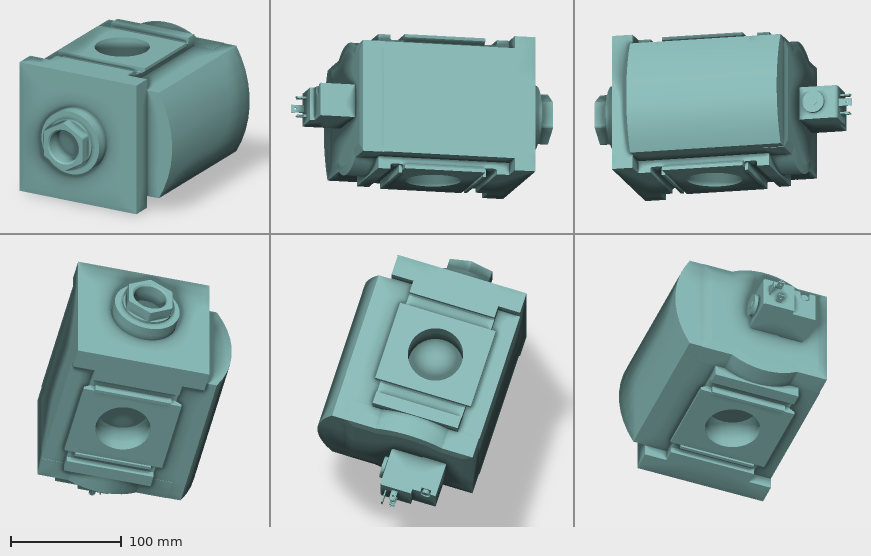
import cadquery as cq
import math


body_width = 122.0
body_height = 124.1
body_end = 141.5
flange_thickness = 19.5
column_width = 80.5
shoulder_drop = 11.1
shoulder_height = body_height - 2 * shoulder_drop

plate_width = 90.7
plate_length = 75.0
plate_front = 42.9
plate_back = plate_front + plate_length
plate_middle = plate_front + plate_length / 2
plate_edge = 2.8
plate_slope = 3.0
groove_width = 12.0
groove_depth = 5.0
groove_chamfer = 1.2
port_diameter = 50.0
port_depth = 30.3

lip_width = 70.5
lip_thickness = 2.8
lip_drop = 2.0

cover_front = 20.1
cover_flat = 11.8
cover_projection = 25.8
cover_end = 160.5

cap_width = 120.8
cap_height = 102.5
cap_diameter = 120.3
cap_rim = cover_end
cap_back = 162.0
cap_taper_width = 8.5

boss_diameter = 60.2
boss_length = 13.7
collar_diameter = 46.0
collar_length = 2.4
hex_across_flats = 40.5
hex_length = 10.5
socket_length = boss_length + collar_length + hex_length
bore_diameter = 30.3
bore_mouth_chamfer = 1.5
bore_depth = 19.0

coil_left = -36.0
coil_step = -14.0
coil_right = 15.5
coil_height = 30.0
coil_low_end = 194.3
coil_high_end = 198.5
coil_edge_chamfer = 1.5
coil_gap = 0.7
screw_x = -26.0
screw_z = 10.0
screw_diameter = 6.9
screw_pocket_diameter = 9.0
screw_pocket_depth = 4.0
screw_head_height = 3.3

knob_y = 177.2
knob_steps = ((10.0, 1.0), (20.0, 3.3), (7.0, 0.7))

ground_blade_x = 10.0
ground_blade_width = 6.9
ground_blade_end = 210.4
blade_thickness = 1.2
blade_x = 1.5
blade_z = 8.0
blade_width = 5.7
blade_end = 207.0
rib_width = 3.5
rib_thickness = 0.7
rib_end = 208.0
blade_hole_diameter = 2.0
blade_hole_setback = 4.0


def box(x_range, y_range, z_range):
    """Box between two limits along each axis."""
    spans = [high - low for low, high in (x_range, y_range, z_range)]
    corner = (x_range[0], y_range[0], z_range[0])
    return cq.Workplane("XY").box(*spans, centered=False).translate(corner)


def centred(size):
    """Limits of a span of the given size about zero."""
    return (-size / 2, size / 2)


def xz_plane(y, x=0, z=0):
    """Workplane facing +Y whose local Y axis is Z and whose local X axis is -X."""
    return cq.Workplane(cq.Plane(origin=(x, y, z), xDir=(-1, 0, 0), normal=(0, 1, 0)))


def disc(y, diameter, length, x=0, z=0):
    """Cylinder along +Y starting at the given place."""
    return xz_plane(y, x, z).circle(diameter / 2).extrude(length)


def on_both_faces(top_solid):
    """A solid on the top face together with its mirror on the bottom face."""
    return top_solid.union(top_solid.mirror("XY"))


def make_groove(front):
    """Cutter for a cross groove in the top face, with chamfered floor corners."""
    top = body_height / 2
    floor = top - groove_depth
    back = front + groove_width
    outline = [
        (front, top),
        (front, floor + groove_chamfer),
        (front + groove_chamfer, floor),
        (back - groove_chamfer, floor),
        (back, floor + groove_chamfer),
        (back, top),
    ]
    return cq.Workplane("YZ").polyline(outline).close().extrude(column_width / 2, both=True)


def make_body():
    flange = box(centred(body_width), (0, flange_thickness), centred(body_height))
    shoulders = box(centred(body_width), (0, body_end), centred(shoulder_height))
    column = box(centred(column_width), (0, body_end), centred(body_height))
    grooves = make_groove(plate_front - groove_width).union(make_groove(plate_back))
    return flange.union(shoulders).union(column).cut(on_both_faces(grooves))


def make_plate():
    """Port plate that overhangs the column and slopes back to it underneath."""
    top = body_height / 2
    edge = top - plate_edge
    root = edge - plate_slope
    outline = [
        (plate_width / 2, top),
        (plate_width / 2, edge),
        (column_width / 2, root),
        (-column_width / 2, root),
        (-plate_width / 2, edge),
        (-plate_width / 2, top),
    ]
    return xz_plane(plate_front).polyline(outline).close().extrude(plate_length)


def make_port():
    top = cq.Workplane("XY", origin=(0, plate_middle, body_height / 2))
    return top.circle(port_diameter / 2).extrude(-port_depth)


def make_lips():
    heights = (-body_height / 2 - lip_drop, -body_height / 2 + groove_depth)
    front = box(centred(lip_width), (plate_front - lip_thickness, plate_front), heights)
    back = box(centred(lip_width), (plate_back, plate_back + lip_thickness), heights)
    return front.union(back)


def make_cover():
    """Cover along the +X side of body and cap, flat edged with a domed outer face."""
    inside = cap_width / 2
    edge = body_width / 2 + cover_flat
    half = shoulder_height / 2
    return (
        cq.Workplane("XZ", origin=(0, cover_front, 0))
        .moveTo(inside, -half)
        .lineTo(edge, -half)
        .threePointArc((body_width / 2 + cover_projection, 0), (edge, half))
        .lineTo(inside, half)
        .close()
        .extrude(cover_front - cover_end)
    )


def make_cap():
    """Rectangular cap with a round bulge above and below, tapering at its back."""
    taper = math.degrees(math.atan(cap_taper_width / (cap_back - cap_rim)))
    cap = box(centred(cap_width), (body_end, cap_rim), centred(cap_height))
    cap = cap.union(disc(body_end, cap_diameter, cap_rim - body_end))
    rim = xz_plane(cap_rim)
    cap = cap.union(rim.rect(cap_width, cap_height).extrude(cap_back - cap_rim, taper=taper))
    return cap.union(rim.circle(cap_diameter / 2).extrude(cap_back - cap_rim, taper=taper))


def make_socket():
    boss = disc(-boss_length, boss_diameter, boss_length)
    collar = disc(-boss_length - collar_length, collar_diameter, collar_length)
    across_corners = hex_across_flats / math.cos(math.radians(30))
    hexagon = (
        xz_plane(-socket_length)
        .polygon(6, across_corners)
        .extrude(hex_length)
        .rotate((0, 0, 0), (0, 1, 0), 30)
        .intersect(disc(-socket_length, collar_diameter, hex_length))
    )
    return boss.union(collar).union(hexagon)


def make_bore():
    mouth = bore_diameter / 2 + bore_mouth_chamfer
    bore = disc(-socket_length, bore_diameter, bore_depth)
    return bore.union(xz_plane(-socket_length).circle(mouth).extrude(bore_mouth_chamfer, taper=45))


def make_coil():
    """Stepped coil block; its taller part stands clear of the cap by a narrow gap."""
    low = box((coil_left, coil_step), (cap_rim, coil_low_end), centred(coil_height))
    high = box((coil_step, coil_right), (cap_back + coil_gap, coil_high_end), centred(coil_height))
    high = high.edges("|Z and >X").chamfer(coil_edge_chamfer)
    pocket_floor = coil_low_end - screw_pocket_depth
    pocket = disc(pocket_floor, screw_pocket_diameter, screw_pocket_depth, screw_x, screw_z)
    pocket_sides = (screw_x - screw_pocket_diameter / 2, screw_x + screw_pocket_diameter / 2)
    pocket = pocket.union(
        box(pocket_sides, (pocket_floor, coil_low_end), (screw_z, coil_height / 2))
    )
    screw = disc(pocket_floor, screw_diameter, screw_head_height, screw_x, screw_z)
    return low.cut(pocket).union(screw).union(high)


def make_knob():
    knob = cq.Workplane("YZ")
    start = coil_right
    for diameter, thickness in knob_steps:
        step = cq.Workplane("YZ", origin=(start, knob_y, 0)).circle(diameter / 2).extrude(thickness)
        knob = knob.add(step)
        start += thickness
    return knob.combine()


def make_blade(thickness, width, end):
    """Blade on the Y axis, wide along Z."""
    return box(centred(thickness), (coil_low_end, end), centred(width))


def make_blade_hole(end):
    """Cutter along X for the hole near the tip of a blade."""
    hole = cq.Workplane("YZ", origin=(0, end - blade_hole_setback, 0))
    return hole.circle(blade_hole_diameter / 2).extrude(blade_thickness + rib_thickness, both=True)


def make_ground_blade():
    blade = make_blade(blade_thickness, ground_blade_width, ground_blade_end)
    return blade.cut(make_blade_hole(ground_blade_end)).translate((ground_blade_x, 0, 0))


def make_flat_blades():
    rib = make_blade(rib_thickness, rib_width, rib_end)
    rib = rib.translate(((blade_thickness + rib_thickness) / 2, 0, 0))
    blade = make_blade(blade_thickness, blade_width, blade_end).union(rib)
    blade = blade.cut(make_blade_hole(rib_end))
    blade = blade.rotate((0, 0, 0), (0, 1, 0), -90)
    return on_both_faces(blade.translate((blade_x, 0, blade_z)))


result = (
    make_body()
    .union(on_both_faces(make_plate()))
    .union(make_lips())
    .union(make_cover())
    .union(make_cap())
    .union(make_socket())
    .union(make_coil())
    .union(make_knob())
    .union(make_ground_blade())
    .union(make_flat_blades())
    .cut(on_both_faces(make_port()))
    .cut(make_bore())
)